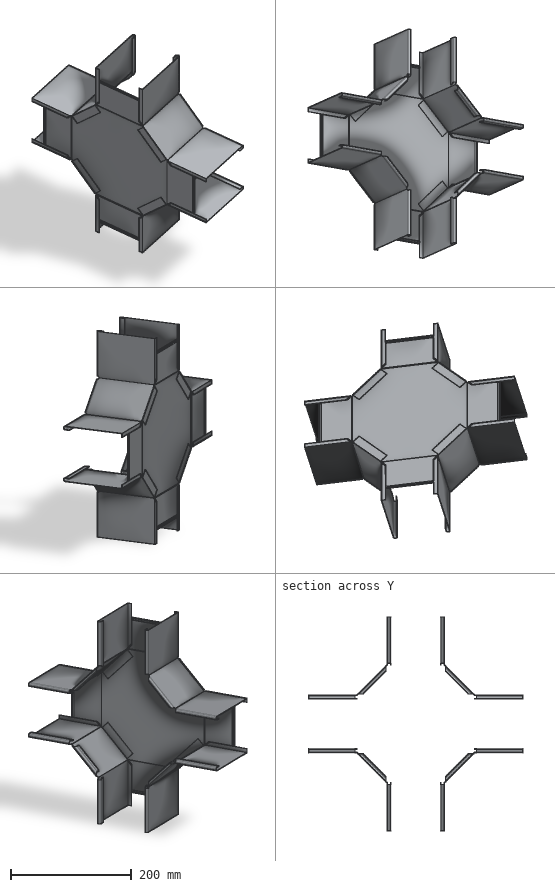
import cadquery as cq
import math


overall_span = 353.97
tray_height = 107.0
arm_width = 95.8
sheet = 1.0

arm_half = arm_width / 2
arm_end = overall_span / 2
bend_position = 97.6
arm_panel_length = arm_end - bend_position
diagonal_length = (bend_position - arm_half) * math.sqrt(2)
bend_angle = 45
miter_overlap = sheet * math.tan(math.radians(bend_angle / 2))

flange_width = 7.2
tab_width = 15.8
hook_radius = 3.4
hook_width = 2 * hook_radius
lip_depth = 10.5
lip_bottom = tray_height - lip_depth

base_relief = 2.0
top_relief = 2.5
top_relief_depth = 5.6
edge_miter_start = 1.7

root_setback = 0.2
plate_half = bend_position - root_setback
step_run = 0.6
plate_middle_half = plate_half - step_run
root_half_width = 46.0
tongue_half_width = 40.2
tongue_miter_start = 1.5
groove_radius = 1.15
groove_center = 150.5
groove_end_margin = 2.0
tongue_end = groove_center + groove_radius + groove_end_margin


def panel_section(base_width):
    """Panel section: x runs inward from the outer face, y runs up from the base."""
    arc_height = tray_height - hook_radius
    inner_radius = hook_radius - sheet
    return (
        cq.Workplane("XY")
        .moveTo(base_width, 0)
        .lineTo(0, 0)
        .lineTo(0, arc_height)
        .threePointArc((hook_radius, tray_height), (hook_width, arc_height))
        .lineTo(hook_width, lip_bottom)
        .lineTo(hook_width - sheet, lip_bottom)
        .lineTo(hook_width - sheet, arc_height)
        .threePointArc((hook_radius, arc_height + inner_radius), (sheet, arc_height))
        .lineTo(sheet, sheet)
        .lineTo(base_width, sheet)
        .close()
    )


def relief_block(length):
    """Side outline of a panel from its bend at z = 0, with the foot and top corners cut back."""
    overrun = 2 * miter_overlap
    relief_bottom = tray_height - top_relief_depth
    outline = [
        (length, 0),
        (base_relief, 0),
        (base_relief, sheet),
        (-overrun, sheet + base_relief + overrun),
        (-overrun, relief_bottom - overrun),
        (top_relief, relief_bottom + top_relief),
        (top_relief, tray_height),
        (length, tray_height),
    ]
    return cq.Workplane("ZY").polyline(outline).close().extrude(tab_width, both=True)


def bend_panel(base_width, length):
    """Panel running along +Z from its bend at z = 0, mitred there to half the bend angle."""
    panel = (
        panel_section(base_width)
        .extrude(length + miter_overlap)
        .translate((0, 0, -miter_overlap))
    )
    bend_miter = (
        cq.Workplane("XZ")
        .polyline([(0, 0), (sheet, -miter_overlap), (0, -miter_overlap)])
        .close()
        .extrude(-tray_height)
    )
    return panel.intersect(relief_block(length)).cut(bend_miter)


def edge_miter(inner_face, width, bottom, height):
    """Tool that cuts the end of a flange or hook at 45 degrees, from inner_face to width."""
    outline = [
        (inner_face, -miter_overlap),
        (inner_face, edge_miter_start + inner_face),
        (width, edge_miter_start + width),
        (width, -miter_overlap),
    ]
    return (
        cq.Workplane("XZ", origin=(0, bottom, 0))
        .polyline(outline)
        .close()
        .extrude(-height)
    )


def arm_panel():
    """Side of an arm, with its base flange mitred toward the bend."""
    flange_miter = edge_miter(0, flange_width, 0, sheet)
    return bend_panel(flange_width, arm_panel_length).cut(flange_miter)


def diagonal_panel():
    """Side between two bends: a wide tab under the plate, and a hooked top with mitred ends."""
    hook_miter = edge_miter(sheet, hook_width, lip_bottom, lip_depth)
    half_length = diagonal_length / 2
    half = bend_panel(tab_width, half_length).cut(hook_miter)
    return half.union(half.mirror("XY", (0, 0, half_length)))


def placed(panel, bend, inward, along):
    """Panel moved to its bend, with its section facing inward and its length running along."""
    plane = cq.Plane(origin=bend, xDir=inward, normal=along)
    return cq.Workplane(panel.val().moved(cq.Location(plane)))


def corner_wall():
    """Corner wall between the +X and +Z arms."""
    x_arm_panel = placed(arm_panel(), (bend_position, 0, arm_half), (0, 0, -1), (1, 0, 0))
    z_arm_panel = x_arm_panel.mirror(cq.Vector(1, 0, -1), (0, 0, 0))
    diagonal = placed(diagonal_panel(), (arm_half, 0, bend_position), (-1, 0, -1), (1, 0, -1))
    return diagonal.union(x_arm_panel).union(z_arm_panel)


def plate_middle():
    """Eight-sided middle of the plate, whose diagonal edges meet the inside of the walls."""
    diagonal_sum = arm_half + bend_position - sheet * math.sqrt(2)
    side_half = diagonal_sum - plate_middle_half
    return (
        cq.Workplane("XZ", origin=(0, sheet, 0))
        .rect(2 * plate_middle_half, 2 * plate_middle_half)
        .extrude(-sheet)
        .edges("|Y")
        .chamfer(plate_middle_half - side_half)
    )


def tongue():
    """Tongue into the +Z arm: a step down from the plate, and a half-round groove near its end."""
    outer_radius = groove_radius + sheet
    outer_half_width = math.sqrt(outer_radius**2 - sheet**2)
    strip = (
        cq.Workplane("ZY")
        .moveTo(plate_middle_half, sheet)
        .lineTo(plate_half, 0)
        .lineTo(groove_center - groove_radius, 0)
        .threePointArc((groove_center, groove_radius), (groove_center + groove_radius, 0))
        .lineTo(tongue_end, 0)
        .lineTo(tongue_end, sheet)
        .lineTo(groove_center + outer_half_width, sheet)
        .threePointArc((groove_center, outer_radius), (groove_center - outer_half_width, sheet))
        .lineTo(plate_half, sheet)
        .lineTo(plate_middle_half, 2 * sheet)
        .close()
        .extrude(root_half_width, both=True)
    )
    miter_start = plate_half + tongue_miter_start
    miter_end = miter_start + root_half_width - tongue_half_width
    right_edge = [
        (root_half_width, plate_middle_half),
        (root_half_width, miter_start),
        (tongue_half_width, miter_end),
        (tongue_half_width, tongue_end),
    ]
    left_edge = [(-x, z) for x, z in reversed(right_edge)]
    plan = cq.Workplane("XZ").polyline(right_edge + left_edge).close().extrude(-tray_height)
    return strip.intersect(plan)


def quarter_turns(body):
    """Four copies of a body, a quarter turn apart about the Y axis."""
    return [body.rotate((0, 0, 0), (0, 1, 0), 90 * turn) for turn in range(4)]


def base_plate():
    """Middle of the plate with a tongue into each arm."""
    plate = plate_middle()
    for arm_tongue in quarter_turns(tongue()):
        plate = plate.union(arm_tongue)
    return plate


plate = base_plate()
corner_walls = quarter_turns(corner_wall())
result = cq.Compound.makeCompound([plate.val(), *[wall.val() for wall in corner_walls]])